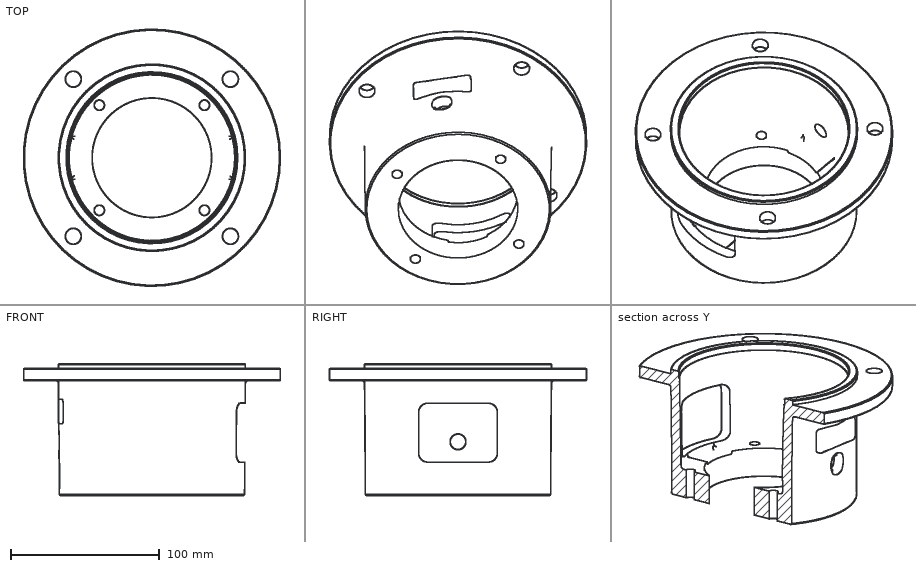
import cadquery as cq
import math

total_height = 88.9
flange_radius = 86.5
flange_thickness = 8.5
flange_edge_chamfer = 0.7
flange_root_fillet = 1.4

lip_height = 3.1
lip_radius = 63.0
lip_chamfer = 0.7

wall_top_radius = lip_radius
wall_bottom_radius = 62.5
base_chamfer = 1.0

mouth_radius = 57.0
mouth_depth = 4.8
mouth_chamfer = 0.7
bore_top_radius = 56.7
bore_bottom_radius = 55.7
floor_height = 20.0
floor_fillet = 1.9
floor_opening_radius = 40.1

bolt_angles = (45, 135, 225, 315)
flange_hole_diameter = 10.5
flange_bolt_circle_radius = 74.7
floor_hole_diameter = 6.7
floor_bolt_circle_radius = 50.0

channel_bottom_width = 24.5
channel_edge_radius = 1.0
channel_depth = 2 * channel_edge_radius

window_width = 53.0
window_bottom = 22.7
window_top = 62.3
window_corner_radius = 6.0

side_hole_diameter = 10.4
side_hole_height = 36.3
side_hole_rounding = 2.5

pad_width = 39.1
pad_height = 16.6
pad_face_distance = 63.0
pad_depth = 5.2
pad_center_height = 56.7
pad_corner_radius = 2.5
pad_edge_fillet = 1.0

flange_top = total_height - lip_height
flange_bottom = flange_top - flange_thickness
mouth_floor = total_height - mouth_depth


def revolve_profile(profile):
    """Turn a closed radius-height outline about the Z axis."""
    return profile.close().revolve(360, (0, 0, 0), (0, 1, 0))


def make_outside():
    fillet_height = flange_bottom - flange_root_fillet
    fillet_bulge = flange_root_fillet * (1 - math.sqrt(0.5))
    outline = (
        cq.Workplane("XZ")
        .moveTo(0, 0)
        .lineTo(wall_bottom_radius - base_chamfer, 0)
        .lineTo(wall_bottom_radius, base_chamfer)
        .lineTo(wall_top_radius, fillet_height)
        .threePointArc(
            (wall_top_radius + fillet_bulge, flange_bottom - fillet_bulge),
            (wall_top_radius + flange_root_fillet, flange_bottom),
        )
        .lineTo(flange_radius - flange_edge_chamfer, flange_bottom)
        .lineTo(flange_radius, flange_bottom + flange_edge_chamfer)
        .lineTo(flange_radius, flange_top - flange_edge_chamfer)
        .lineTo(flange_radius - flange_edge_chamfer, flange_top)
        .lineTo(lip_radius, flange_top)
        .lineTo(lip_radius, total_height - lip_chamfer)
        .lineTo(lip_radius - lip_chamfer, total_height)
        .lineTo(0, total_height)
    )
    return revolve_profile(outline)


def make_cavity():
    """Mouth recess and tapered bore down to the floor."""
    outline = (
        cq.Workplane("XZ")
        .moveTo(0, floor_height)
        .lineTo(bore_bottom_radius, floor_height)
        .lineTo(bore_top_radius, mouth_floor)
        .lineTo(mouth_radius, mouth_floor)
        .lineTo(mouth_radius, total_height - mouth_chamfer)
        .lineTo(mouth_radius + mouth_chamfer, total_height)
        .lineTo(0, total_height)
    )
    cavity = revolve_profile(outline)
    return cavity.faces("<Z").edges().fillet(floor_fillet)


def make_floor_channel():
    """Channel with rounded upper edges and matching fillets along its bottom, trimmed to the bore."""
    radius = channel_edge_radius
    bulge = radius * (1 - math.sqrt(0.5))
    half_bottom = channel_bottom_width / 2
    half_side = half_bottom + radius
    half_mouth = half_side + radius
    bottom = floor_height - channel_depth
    middle = bottom + radius
    channel = (
        cq.Workplane("YZ")
        .moveTo(-half_mouth, floor_height)
        .threePointArc((-half_side - bulge, floor_height - bulge), (-half_side, middle))
        .threePointArc((-half_side + bulge, bottom + bulge), (-half_bottom, bottom))
        .lineTo(half_bottom, bottom)
        .threePointArc((half_side - bulge, bottom + bulge), (half_side, middle))
        .threePointArc((half_side + bulge, floor_height - bulge), (half_mouth, floor_height))
        .lineTo(half_mouth, floor_height + floor_fillet)
        .lineTo(-half_mouth, floor_height + floor_fillet)
        .close()
        .extrude(bore_bottom_radius, both=True)
    )
    channel_end = (
        cq.Workplane("XY")
        .workplane(offset=bottom)
        .circle(bore_bottom_radius)
        .extrude(total_height)
        .faces("<Z")
        .edges()
        .fillet(floor_fillet)
    )
    return channel.intersect(channel_end)


def make_window():
    length = flange_radius
    return (
        cq.Workplane("XY")
        .box(length, window_width, window_top - window_bottom, centered=(False, True, False))
        .edges("|X")
        .fillet(window_corner_radius)
        .translate((0, 0, window_bottom))
    )


def make_side_hole():
    """Radial hole along -X whose mouth flares out to the wall in a round."""
    hole_radius = side_hole_diameter / 2
    flare_radius = hole_radius + side_hole_rounding
    flare_start = wall_bottom_radius - side_hole_rounding
    bulge = side_hole_rounding * (1 - math.sqrt(0.5))
    return (
        cq.Workplane("XY")
        .lineTo(0, hole_radius)
        .lineTo(-flare_start, hole_radius)
        .threePointArc(
            (bulge - wall_bottom_radius, hole_radius + bulge),
            (-wall_bottom_radius, flare_radius),
        )
        .lineTo(-flange_radius, flare_radius)
        .lineTo(-flange_radius, 0)
        .close()
        .revolve(360, (0, 0, 0), (1, 0, 0))
        .translate((0, 0, side_hole_height))
    )


def make_pad():
    return (
        cq.Workplane("XY")
        .box(pad_depth, pad_width, pad_height, centered=(False, True, True))
        .edges("|X")
        .fillet(pad_corner_radius)
        .faces("<X")
        .edges()
        .fillet(pad_edge_fillet)
        .translate((-pad_face_distance, 0, pad_center_height))
    )


def make_bolt_holes(circle_radius, diameter):
    points = [
        (circle_radius * math.cos(math.radians(a)), circle_radius * math.sin(math.radians(a)))
        for a in bolt_angles
    ]
    return cq.Workplane("XY").pushPoints(points).circle(diameter / 2).extrude(total_height)


result = (
    make_outside()
    .union(make_pad())
    .cut(make_cavity())
    .cut(make_floor_channel())
    .cut(cq.Workplane("XY").circle(floor_opening_radius).extrude(total_height))
    .cut(make_bolt_holes(flange_bolt_circle_radius, flange_hole_diameter))
    .cut(make_bolt_holes(floor_bolt_circle_radius, floor_hole_diameter))
    .cut(make_window())
    .cut(make_side_hole())
)